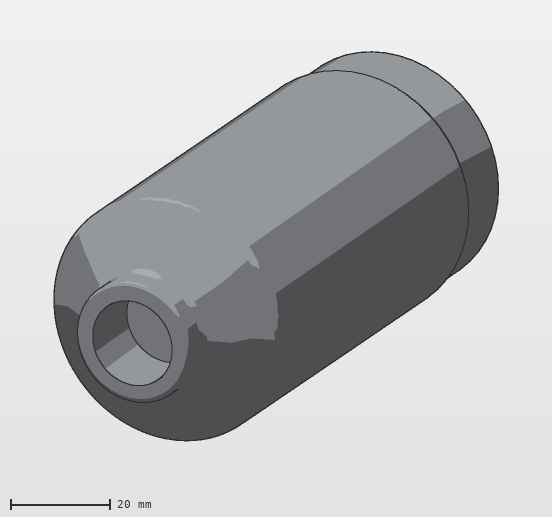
import cadquery as cq
import math

total_length = 113.0
body_diameter = 51.6
spigot_diameter = 49.6
spigot_length = 14.0
rear_ledge = 0.17
neck_diameter = 25.7
neck_length = 6.0
nose_length = 15.0
shoulder_hollow = 0.28
bore_diameter = 18.0
bore_depth = nose_length
body_round = 2.0
neck_rim_round = 1.0

body_radius = body_diameter / 2
spigot_radius = spigot_diameter / 2
neck_radius = neck_diameter / 2

neck_end = neck_length
shoulder_end = nose_length
body_end = total_length - spigot_length

shoulder_rise = body_radius - neck_radius
shoulder_run = shoulder_end - neck_end
shoulder_chord = math.hypot(shoulder_rise, shoulder_run)
shoulder_mid = (
    (neck_radius + body_radius) / 2 - shoulder_hollow * shoulder_run / shoulder_chord,
    (neck_end + shoulder_end) / 2 + shoulder_hollow * shoulder_rise / shoulder_chord,
)

round_center_radius = body_radius - body_round
round_sweep = math.acos((spigot_radius + rear_ledge - round_center_radius) / body_round)
round_center_y = body_end - body_round * math.sin(round_sweep)


def rear_round_point(angle):
    """Point on the rear body round, with the angle measured from the body surface."""
    return (
        round_center_radius + body_round * math.cos(angle),
        round_center_y + body_round * math.sin(angle),
    )


def edges_at(radius, y):
    """Selector for the circular edge of the given radius at station y."""
    margin = 0.1
    reach = radius + margin
    return cq.selectors.BoxSelector(
        (-reach, y - margin, -reach), (reach, y + margin, reach), boundingbox=True
    )


turned = (
    cq.Workplane("XY")
    .lineTo(neck_radius, 0)
    .lineTo(neck_radius, neck_end)
    .threePointArc(shoulder_mid, (body_radius, shoulder_end))
    .lineTo(*rear_round_point(0))
    .threePointArc(rear_round_point(round_sweep / 2), rear_round_point(round_sweep))
    .lineTo(spigot_radius, body_end)
    .lineTo(spigot_radius, total_length)
    .lineTo(0, total_length)
    .close()
    .revolve(360, (0, 0, 0), (0, 1, 0))
)

turned = turned.edges(edges_at(body_radius, shoulder_end)).fillet(body_round)
turned = turned.edges(edges_at(neck_radius, neck_end)).fillet(body_round)
turned = turned.edges(edges_at(neck_radius, 0)).fillet(neck_rim_round)

bore = cq.Workplane("XZ").circle(bore_diameter / 2).extrude(-bore_depth)

result = turned.cut(bore)